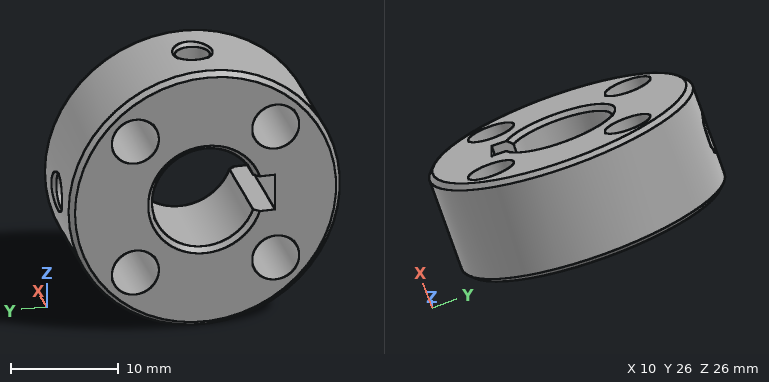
import cadquery as cq

outer_diameter = 26.0
width = 10.0
bore_diameter = 10.0
edge_chamfer = 0.5

bolt_hole_diameter = 4.5
bolt_circle_diameter = 19.0
bolt_hole_count = 4
first_bolt_angle = 45.0

keyway_width = 3.55
keyway_depth = 6.65

screw_angles = (0, -90)
screw_hole_diameter = 3.25
screw_mouth_diameter = 4.0

outer_radius = outer_diameter / 2


def make_collar():
    """Ring with chamfered outer rims and bore mouths, centred on the origin."""
    ring = (
        cq.Workplane("YZ", origin=(-width / 2, 0, 0))
        .circle(outer_radius)
        .circle(bore_diameter / 2)
        .extrude(width)
    )
    return ring.faces("<X or >X").edges().chamfer(edge_chamfer)


def make_bolt_holes():
    """Cylinders along X for the bolt holes."""
    return (
        cq.Workplane("YZ", origin=(-width / 2, 0, 0))
        .polarArray(bolt_circle_diameter / 2, first_bolt_angle, 360, bolt_hole_count)
        .circle(bolt_hole_diameter / 2)
        .extrude(width)
    )


def make_keyway():
    """Block from the bore axis to the keyway floor, along the full width."""
    return cq.Workplane("XY").box(width, keyway_depth, keyway_width).translate((0, -keyway_depth / 2, 0))


def make_screw_hole(angle):
    """Radial hole from the bore axis outward, with a 45 degree countersink at its mouth."""
    hole_radius = screw_hole_diameter / 2
    mouth_radius = screw_mouth_diameter / 2
    countersink_depth = mouth_radius - hole_radius
    return (
        cq.Workplane("XZ")
        .lineTo(hole_radius, 0)
        .lineTo(hole_radius, outer_radius - countersink_depth)
        .lineTo(mouth_radius, outer_radius)
        .lineTo(0, outer_radius)
        .close()
        .revolve(360, (0, 0), (0, 1))
        .rotate((0, 0, 0), (1, 0, 0), angle)
    )


result = make_collar().cut(make_bolt_holes()).cut(make_keyway())
for screw_angle in screw_angles:
    result = result.cut(make_screw_hole(screw_angle))